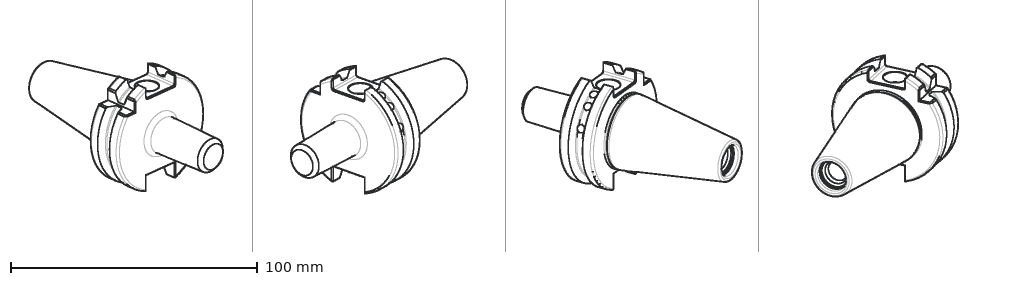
import cadquery as cq
import math

TOTAL_LENGTH = 96.8

PICK_TOLERANCE = 0.1

TAPER_LENGTH = 48.6
TAPER_RATIO = 7 / 24
TAPER_END_RADIUS = 8.9
TAPER_LARGE_RADIUS = TAPER_END_RADIUS + TAPER_LENGTH * TAPER_RATIO / 2
TAPER_EDGE_FILLET = 0.9
COLLAR_LENGTH = 0.8
COLLAR_RELIEF = 0.4
COLLAR_ROOT_FILLET = 0.5

FLANGE_START = 50.9
FLANGE_END = 66.9
FLANGE_WIDTH = FLANGE_END - FLANGE_START
FLANGE_MIDDLE = (FLANGE_START + FLANGE_END) / 2
FLANGE_DIAMETER = 50.0
FLANGE_RADIUS = FLANGE_DIAMETER / 2
FLANGE_RIM_FILLET = 1.0

GROOVE_FLOOR_RADIUS = 22.0
GROOVE_FLOOR_WIDTH = 3.3
GROOVE_FLANK_ANGLE = 30.0
GROOVE_FLOOR_FILLET = 0.6
GROOVE_MOUTH_WIDTH = GROOVE_FLOOR_WIDTH + 2 * (FLANGE_RADIUS - GROOVE_FLOOR_RADIUS) * math.tan(
    math.radians(GROOVE_FLANK_ANGLE)
)

SLOT_WIDTH = 16.3
TOP_SLOT_FLOOR = 18.8
BOTTOM_SLOT_FLOOR = 16.3
TOP_SLOT_CORNER_FILLET = 0.8
NOTCH_WALL_Y = 14.9
NOTCH_FLOOR_Z = 15.0
SLOT_EDGE_CHAMFER = 0.5

CHIP_RADIUS = 4.8
CHIP_DEPTH = 4.6
CHIP_MOUTH_CHAMFER = 0.2
CHIP_DRILL_RADIUS = 1.9
DRILL_POINT_ANGLE = 118.0

GROOVE_HOLE_ANGLES = (30.0, 45.0, 70.0)
GROOVE_HOLE_DIAMETER = 3.4
GROOVE_HOLE_DEPTH = 6.0

SHANK_ROOT_RADIUS = 7.9
SHANK_TIP_RADIUS = 7.4
SHANK_ROOT_FILLET = 1.9
SHANK_TIP_CHAMFER = 1.7

BORE_MOUTH_FILLET = 0.8
COUNTERBORE_RADIUS = 6.5
COUNTERBORE_DEPTH = 2.6
COUNTERBORE_STEP = 0.4
THREAD_MAJOR_RADIUS = 6.0
THREAD_MAJOR_DEPTH = 3.8
THREAD_MINOR_RADIUS = 4.9
THREAD_MINOR_DEPTH = 4.6
BORE_END_RADIUS = 4.3
BORE_END_DEPTH = 6.3


def drill_point_length(radius):
    """Length of the cone left by a drill of this radius."""
    return radius / math.tan(math.radians(DRILL_POINT_ANGLE / 2))


def revolve_about_x(profile):
    return profile.close().revolve(360, (0, 0, 0), (1, 0, 0))


def make_taper():
    collar_end = TAPER_LENGTH + COLLAR_LENGTH
    relief_radius = TAPER_LARGE_RADIUS - COLLAR_RELIEF
    body = revolve_about_x(
        cq.Workplane("XY")
        .lineTo(0, TAPER_END_RADIUS)
        .lineTo(TAPER_LENGTH, TAPER_LARGE_RADIUS)
        .lineTo(collar_end, TAPER_LARGE_RADIUS)
        .lineTo(collar_end + COLLAR_RELIEF, relief_radius)
        .lineTo(FLANGE_START - COLLAR_ROOT_FILLET, relief_radius)
        .radiusArc((FLANGE_START, relief_radius + COLLAR_ROOT_FILLET), -COLLAR_ROOT_FILLET)
        .lineTo(FLANGE_START, relief_radius)
        .lineTo(FLANGE_MIDDLE, relief_radius)
        .lineTo(FLANGE_MIDDLE, 0)
    )
    return body.faces("<X").edges().fillet(TAPER_EDGE_FILLET)


def make_shank():
    straight_end = TOTAL_LENGTH - SHANK_TIP_CHAMFER
    return revolve_about_x(
        cq.Workplane("XY")
        .moveTo(FLANGE_MIDDLE, 0)
        .lineTo(FLANGE_MIDDLE, SHANK_ROOT_RADIUS + SHANK_ROOT_FILLET)
        .lineTo(FLANGE_END, SHANK_ROOT_RADIUS + SHANK_ROOT_FILLET)
        .radiusArc((FLANGE_END + SHANK_ROOT_FILLET, SHANK_ROOT_RADIUS), -SHANK_ROOT_FILLET)
        .lineTo(straight_end, SHANK_TIP_RADIUS)
        .lineTo(TOTAL_LENGTH, SHANK_TIP_RADIUS - SHANK_TIP_CHAMFER)
        .lineTo(TOTAL_LENGTH, 0)
    )


def make_plain_disc():
    return cq.Workplane("YZ", origin=(FLANGE_START, 0, 0)).circle(FLANGE_RADIUS).extrude(FLANGE_WIDTH)


def flange_prism(y_min, y_max, z_min, z_max):
    """Box over the full flange width, for cutting along X."""
    box = cq.Workplane("XY").box(FLANGE_WIDTH, y_max - y_min, z_max - z_min, centered=False)
    return box.translate((FLANGE_START, y_min, z_min))


def is_slot_edge(edge):
    """True for slot outlines on the end faces and for the slot edges along the rim."""
    if edge.geomType() == "CIRCLE":
        return edge.radius() < FLANGE_RADIUS / 2
    center = edge.Center()
    on_end_face = abs(center.x - FLANGE_MIDDLE) > FLANGE_WIDTH / 4
    on_rim = math.hypot(center.y, center.z) > FLANGE_RADIUS - PICK_TOLERANCE
    return on_end_face or on_rim


def make_slotted_disc():
    """Plain disc with the slots and the notch cut through and their edges chamfered."""
    disc = make_plain_disc()
    half_slot = SLOT_WIDTH / 2
    top_slot = flange_prism(-half_slot, half_slot, TOP_SLOT_FLOOR, 2 * FLANGE_RADIUS)
    top_slot = top_slot.edges("|X and <Z").fillet(TOP_SLOT_CORNER_FILLET)
    bottom_slot = flange_prism(-half_slot, half_slot, -2 * FLANGE_RADIUS, -BOTTOM_SLOT_FLOOR)
    notch = flange_prism(-2 * FLANGE_RADIUS, -NOTCH_WALL_Y, NOTCH_FLOOR_Z, 2 * FLANGE_RADIUS)
    disc = disc.cut(top_slot).cut(bottom_slot).cut(notch)

    return disc.edges().filter(is_slot_edge).chamfer(SLOT_EDGE_CHAMFER)


def make_flange_envelope():
    """Turned flange: rounded rim and V-groove, before any slot is cut."""
    rim = make_plain_disc()
    rim = rim.edges("%CIRCLE").fillet(FLANGE_RIM_FILLET)
    half_floor = GROOVE_FLOOR_WIDTH / 2
    half_mouth = GROOVE_MOUTH_WIDTH / 2
    ring = revolve_about_x(
        cq.Workplane("XY")
        .moveTo(FLANGE_MIDDLE - half_floor, GROOVE_FLOOR_RADIUS)
        .lineTo(FLANGE_MIDDLE + half_floor, GROOVE_FLOOR_RADIUS)
        .lineTo(FLANGE_MIDDLE + half_mouth, FLANGE_RADIUS)
        .lineTo(FLANGE_MIDDLE - half_mouth, FLANGE_RADIUS)
    )
    floor_edges = ring.edges("%CIRCLE").filter(
        lambda edge: edge.radius() < GROOVE_FLOOR_RADIUS + PICK_TOLERANCE
    )
    return rim.cut(floor_edges.fillet(GROOVE_FLOOR_FILLET))


def make_groove_holes():
    holes = cq.Workplane("XY")
    for angle in GROOVE_HOLE_ANGLES:
        hole = (
            cq.Workplane("XY", origin=(FLANGE_MIDDLE, 0, GROOVE_FLOOR_RADIUS - GROOVE_HOLE_DEPTH))
            .circle(GROOVE_HOLE_DIAMETER / 2)
            .extrude(2 * GROOVE_HOLE_DEPTH)
            .rotate((0, 0, 0), (1, 0, 0), -angle)
        )
        holes = holes.add(hole)
    return holes.combine()


def make_chip_pocket():
    floor_z = TOP_SLOT_FLOOR - CHIP_DEPTH
    tip_z = floor_z - drill_point_length(CHIP_DRILL_RADIUS)
    profile = (
        cq.Workplane("XZ")
        .moveTo(0, tip_z)
        .lineTo(CHIP_DRILL_RADIUS, floor_z)
        .lineTo(CHIP_RADIUS, floor_z)
        .lineTo(CHIP_RADIUS, TOP_SLOT_FLOOR - CHIP_MOUTH_CHAMFER)
        .lineTo(CHIP_RADIUS + CHIP_MOUTH_CHAMFER, TOP_SLOT_FLOOR)
        .lineTo(0, TOP_SLOT_FLOOR)
        .close()
    )
    return profile.revolve(360, (0, 0, 0), (0, 1, 0)).translate((FLANGE_MIDDLE, 0, 0))


def make_bore():
    return revolve_about_x(
        cq.Workplane("XY")
        .lineTo(0, COUNTERBORE_RADIUS + BORE_MOUTH_FILLET)
        .radiusArc((BORE_MOUTH_FILLET, COUNTERBORE_RADIUS), -BORE_MOUTH_FILLET)
        .lineTo(COUNTERBORE_DEPTH, COUNTERBORE_RADIUS)
        .lineTo(COUNTERBORE_DEPTH + COUNTERBORE_STEP, THREAD_MAJOR_RADIUS)
        .lineTo(THREAD_MAJOR_DEPTH, THREAD_MAJOR_RADIUS)
        .lineTo(THREAD_MINOR_DEPTH, THREAD_MINOR_RADIUS)
        .lineTo(BORE_END_DEPTH, BORE_END_RADIUS)
        .lineTo(BORE_END_DEPTH + drill_point_length(BORE_END_RADIUS), 0)
    )


flange = make_slotted_disc().intersect(make_flange_envelope())
flange = flange.cut(make_groove_holes())
body = flange.union(make_taper()).union(make_shank())
result = body.cut(make_chip_pocket()).cut(make_bore())